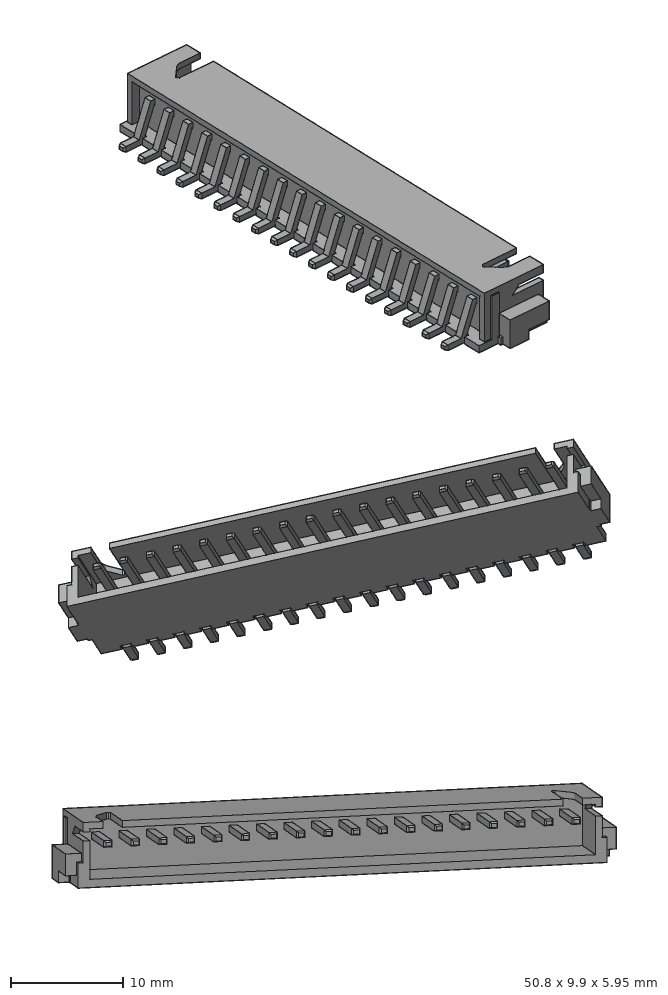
import cadquery as cq

total_length = 50.75
body_length = 47.8
body_height = 5.95
body_depth = 7.05

wall = 0.6
cavity_length = body_length - 2 * wall
cavity_floor = 0.75
cavity_ceiling = body_height - wall
cavity_depth = 4.55

recess_floor = 0.75
recess_depth = 0.85

lip_length = 48.15
lip_front = 7.8
notch_width = 1.05
notch_back = 7.3
rib_back = 5.4
rib_front = 6.3
rib_top = 5.4

slot_outer = 22.1
slot_inner = 20.3
slot_bend_depth = 2.8
slot_bend_radius = 1.2
slot_depth = 4.2
slot_tip_chamfer = 0.15
end_slot_bottom = 4.25
end_slot_top = 5.1
end_slot_roof_depth = 2.9
end_slot_depth = 3.7

ear_length = 48.75
ear_top = 2.3
boss_length = 48.85
boss_back = 2.75
boss_front = 5.55
boss_top = 0.75
tab_back = 0.6
tab_front = 5.3
tab_bottom = 1.05
tab_top = 3.05
foot_back = 3.05

pin_count = 18
pin_pitch = 2.55
pin_width = 0.75
pin_thickness = 0.6
pin_top = 4.15
pin_end = 9.9
pin_tip_length = 0.25
pin_tip_inset = 0.125
knee_depth = 8.05
shoulder_depth = 6.7


def block(length, back, front, bottom, top):
    """Box centred on X between two depths behind the mating face and two heights."""
    size = (length, front - back, top - bottom)
    return cq.Workplane("XY").box(*size).translate((0, -(back + front) / 2, (bottom + top) / 2))


def profile(points, width):
    """Extrude a (depth, height) outline symmetrically along X."""
    outline = [(-depth, height) for depth, height in points]
    return cq.Workplane("YZ").polyline(outline).close().extrude(width / 2, both=True)


def make_pin():
    """Contact with a straight tongue, a sloping leg and a flat solder foot."""
    bottom = pin_top - pin_thickness
    slope = (knee_depth - shoulder_depth) / (pin_top - pin_thickness)
    inner_offset = pin_thickness * (1 + slope ** 2) ** 0.5
    inner_shoulder = shoulder_depth + slope * pin_thickness - inner_offset
    inner_knee = knee_depth + slope * pin_thickness - inner_offset
    tip = pin_end - pin_tip_length
    pin = profile(
        [
            (pin_tip_length, pin_top),
            (shoulder_depth, pin_top),
            (knee_depth, pin_thickness),
            (tip, pin_thickness),
            (tip, 0),
            (inner_knee, 0),
            (inner_shoulder, bottom),
            (pin_tip_length, bottom),
        ],
        pin_width,
    )
    tongue_tip = make_tip().translate((0, -pin_tip_length, pin_top - pin_thickness / 2))
    foot_tip = make_tip().mirror("XZ").translate((0, -tip, pin_thickness / 2))
    return pin.union(tongue_tip).union(foot_tip)


def make_tip():
    """Tapered pin end that narrows towards +Y."""
    return (
        cq.Workplane("XZ")
        .rect(pin_width, pin_thickness)
        .workplane(offset=-pin_tip_length)
        .rect(pin_width - 2 * pin_tip_inset, pin_thickness - 2 * pin_tip_inset)
        .loft()
    )


def make_roof_slot():
    """Latch slot through the roof at the -X end, bent inwards towards its tip."""
    tip_outer = slot_outer - (slot_depth - slot_bend_depth)
    return (
        cq.Workplane("XY")
        .workplane(offset=cavity_ceiling)
        .moveTo(-slot_outer, 0)
        .lineTo(-slot_outer, -slot_bend_depth)
        .lineTo(-tip_outer, -slot_depth)
        .lineTo(-slot_inner - slot_tip_chamfer, -slot_depth)
        .lineTo(-slot_inner, -slot_depth + slot_tip_chamfer)
        .lineTo(-slot_inner, 0)
        .close()
        .extrude(wall)
        .edges(cq.selectors.NearestToPointSelector((-slot_outer, -slot_bend_depth, body_height - wall / 2)))
        .fillet(slot_bend_radius)
    )


def make_tabs():
    """L-shaped solder tabs at both ends, made as one prism through the housing."""
    return profile(
        [
            (tab_back, tab_top),
            (tab_front, tab_top),
            (tab_front, 0),
            (foot_back, 0),
            (foot_back, tab_bottom),
            (tab_back, tab_bottom),
        ],
        total_length,
    )


housing = block(body_length, 0, body_depth, 0, body_height)
housing = housing.union(block(lip_length, rib_back, lip_front, 0, recess_floor))
housing = housing.union(block(lip_length, rib_back, rib_front, 0, rib_top))
housing = housing.union(block(ear_length, 0, boss_back, 0, ear_top))
housing = housing.union(block(boss_length, boss_back, boss_front, 0, boss_top))
housing = housing.union(block(boss_length, boss_back, foot_back, 0, tab_bottom))
housing = housing.union(make_tabs())

recess_length = body_length - 2 * wall
recess_back = body_depth - recess_depth
housing = housing.cut(block(recess_length, recess_back, body_depth, recess_floor, body_height - wall))
housing = housing.cut(block(cavity_length, 0, cavity_depth, cavity_floor, cavity_ceiling))
end_slots = profile(
    [
        (0, end_slot_bottom),
        (end_slot_depth, end_slot_bottom),
        (end_slot_roof_depth, end_slot_top),
        (0, end_slot_top),
    ],
    total_length,
)
housing = housing.cut(end_slots)
roof_slot = make_roof_slot()
housing = housing.cut(roof_slot).cut(roof_slot.mirror("YZ"))

pin = make_pin()
notch = block(notch_width, notch_back, lip_front, 0, recess_floor)
first_pin = -(pin_count - 1) / 2 * pin_pitch
for index in range(pin_count):
    place = (first_pin + index * pin_pitch, 0, 0)
    housing = housing.cut(notch.translate(place)).union(pin.translate(place))

result = housing